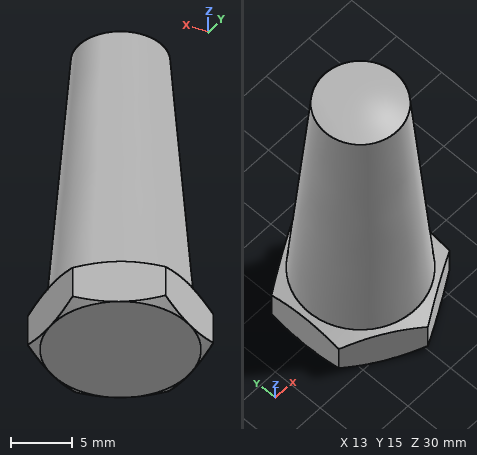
import cadquery as cq
import math

total_height = 30.0
corner_diameter = 15.0
corner_radius = corner_diameter / 2
flat_radius = corner_radius * math.cos(math.radians(30))

base_height = 4.32
chamfer_slope = math.tan(math.radians(30))

shank_bottom_radius = 6.0
shank_top_radius = 4.02
dome_height = 1.0
dome_start = total_height - dome_height
dome_radius = (shank_top_radius**2 + dome_height**2) / (2 * dome_height)


def hex_base():
    """Hexagon with corners on the Y axis, chamfered at both ends."""
    prism = (
        cq.Workplane("XY")
        .polygon(6, corner_diameter)
        .extrude(base_height)
        .rotate((0, 0, 0), (0, 0, 1), 30)
    )
    rim_radius = corner_radius + 0.3
    lower_rim = (rim_radius - flat_radius) * chamfer_slope
    upper_rim = base_height - (rim_radius - shank_bottom_radius) * chamfer_slope
    envelope = (
        cq.Workplane("XZ")
        .lineTo(flat_radius, 0)
        .lineTo(rim_radius, lower_rim)
        .lineTo(rim_radius, upper_rim)
        .lineTo(shank_bottom_radius, base_height)
        .lineTo(0, base_height)
        .close()
        .revolve(360, (0, 0), (0, 1))
    )
    return prism.intersect(envelope)


def domed_shank():
    """Tapered round shank closed by a shallow spherical cap."""
    half_angle = math.asin(shank_top_radius / dome_radius) / 2
    dome_middle = (
        dome_radius * math.sin(half_angle),
        total_height - dome_radius * (1 - math.cos(half_angle)),
    )
    return (
        cq.Workplane("XZ")
        .moveTo(0, base_height)
        .lineTo(shank_bottom_radius, base_height)
        .lineTo(shank_top_radius, dome_start)
        .threePointArc(dome_middle, (0, total_height))
        .close()
        .revolve(360, (0, 0), (0, 1))
    )


result = hex_base().union(domed_shank())